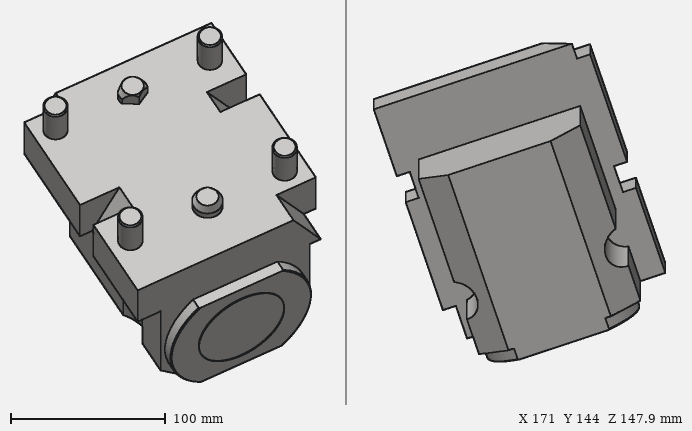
import cadquery as cq
import math

plate_length = 162.3
plate_width = 144.0
plate_thickness = 35.0
overall_length = 171.0

notch_depth_top = 29.0
notch_wall_angle = 30.0
notch_depth_bottom = notch_depth_top - plate_thickness * math.tan(math.radians(notch_wall_angle))
notch_width = 18.0
front_corner_notch_width = 10.5
front_notch_start = 85.2
back_notch_start = 46.5
back_corner_notch_start = 139.5

housing_start = 40.5
housing_width = 110.1
housing_height = 86.4
housing_chamfer = 20.2
housing_length = plate_length - housing_start
plate_bottom = -plate_thickness
housing_bottom = plate_bottom - housing_height

pin_left_x = 25.1
pin_right_x = pin_left_x + 100.0
screw_y = 57.0
screw_diameter = 16.0
screw_height = 26.5
screw_chamfer = 1.0
groove_diameter = 26.0
locator_diameter = 20.0
locator_height = 10.0
locator_straight_height = locator_height / 2
locator_top_diameter = 14.4
diamond_half_width = 8.5
diamond_half_length = diamond_half_width * math.tan(math.radians(60))

cover_diameter = 104.0
cover_height = 83.3
cover_thickness = 8.0
cover_z = housing_bottom + cover_height / 2
cover_edge_chamfer = 0.7
hub_diameter = 63.0


def notch(start, width, side):
    """Notch cutter along X; side is -1 for the front edge, +1 for the back edge."""
    edge = side * plate_width / 2
    return (
        cq.Workplane("YZ", origin=(start, 0, 0))
        .moveTo(edge, 0)
        .lineTo(edge - side * notch_depth_top, 0)
        .lineTo(edge - side * notch_depth_bottom, plate_bottom)
        .lineTo(edge, plate_bottom)
        .close()
        .extrude(width)
    )


def make_plate():
    plate = cq.Workplane("XY").box(
        plate_length, plate_width, plate_thickness, centered=(False, True, False)
    ).translate((0, 0, plate_bottom))
    plate = plate.cut(notch(0, front_corner_notch_width, -1))
    plate = plate.cut(notch(front_notch_start, notch_width, -1))
    plate = plate.cut(notch(back_notch_start, notch_width, 1))
    back_corner_width = plate_length - back_corner_notch_start
    return plate.cut(notch(back_corner_notch_start, back_corner_width, 1))


def make_housing():
    housing = cq.Workplane("XY").box(
        housing_length, housing_width, housing_height, centered=(False, True, False)
    ).translate((housing_start, 0, housing_bottom))
    housing = housing.faces("<Z").edges("|X").chamfer(housing_chamfer)
    grooves = (
        cq.Workplane("XY", origin=(0, 0, housing_bottom))
        .pushPoints([(pin_right_x, -screw_y), (pin_right_x, screw_y)])
        .circle(groove_diameter / 2)
        .extrude(housing_height)
    )
    return housing.cut(grooves)


def make_screw(x, y):
    screw = cq.Workplane("XY", origin=(x, y, 0)).circle(screw_diameter / 2).extrude(screw_height)
    return screw.faces(">Z").chamfer(screw_chamfer)


def make_locator(x):
    """Round locating pin with a conical tip."""
    return (
        cq.Workplane("XZ")
        .lineTo(locator_diameter / 2, 0)
        .lineTo(locator_diameter / 2, locator_straight_height)
        .lineTo(locator_top_diameter / 2, locator_height)
        .lineTo(0, locator_height)
        .close()
        .revolve(360, (0, 0, 0), (0, 1, 0))
        .translate((x, 0, 0))
    )


def make_diamond_locator(x):
    """Locating pin relieved to a rhombus along X."""
    rhombus = (
        cq.Workplane("XY", origin=(x, 0, 0))
        .polyline([
            (diamond_half_width, 0),
            (0, diamond_half_length),
            (-diamond_half_width, 0),
            (0, -diamond_half_length),
        ])
        .close()
        .extrude(locator_height)
    )
    return make_locator(x).intersect(rhombus)


def make_cover():
    """Disc flattened at top and bottom, with a thin raised hub."""
    face = cq.Workplane("YZ", origin=(plate_length, 0, cover_z))
    disc = face.circle(cover_diameter / 2).extrude(cover_thickness)
    disc = disc.faces(">X").chamfer(cover_edge_chamfer)
    disc = disc.intersect(face.rect(cover_diameter, cover_height).extrude(cover_thickness))
    hub = face.circle(hub_diameter / 2).extrude(overall_length - plate_length)
    return disc.union(hub)


result = make_plate().union(make_housing()).union(make_cover())
for screw_x in (pin_left_x, pin_right_x):
    for side in (-1, 1):
        result = result.union(make_screw(screw_x, side * screw_y))
result = result.union(make_locator(pin_right_x)).union(make_diamond_locator(pin_left_x))